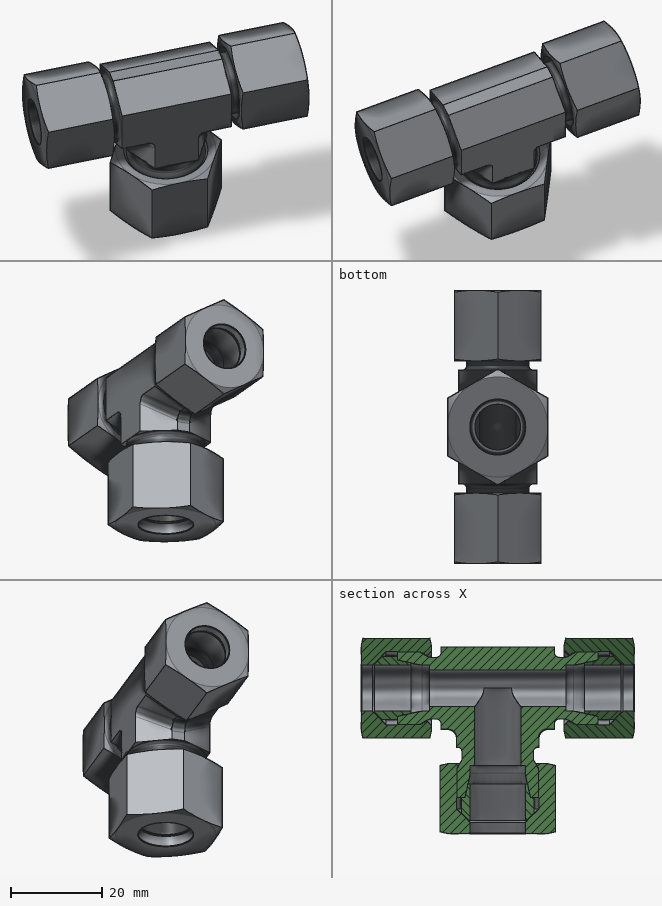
import cadquery as cq
import math


CORE_ACROSS_FLATS = 17.15
CORE_HALF_DEPTH = 9.05
CORNER_FILLET = 2.0

SEAT_DEPTH = 7.0
SEAT_HALF_ANGLE = math.radians(12)
UNDERCUT_RADIUS = 1.0
THREAD_END_ANGLE = math.radians(30)
UNDERCUT_LENGTH = 4.55
RING_NOSE = 3.0
RING_TAIL = 5.05
RING_END_GAP = 0.5
NUT_LENGTH = 15.5
NUT_CHAMFER_ANGLE = math.radians(15)
NUT_EDGE_BREAK = 0.15

RUN = dict(
    core_end=12.5,
    arm_end=22.0,
    outer_end=30.0,
    bore=8.0,
    tube=10.0,
    seat_mouth=12.3,
    thread=16.0,
    neck=13.7,
    ring=14.0,
    nut_mouth=16.4,
    nut_flats=19.0,
)
BRANCH = dict(
    core_end=13.0,
    arm_end=24.0,
    outer_end=32.0,
    bore=10.0,
    tube=12.0,
    seat_mouth=14.3,
    thread=18.0,
    neck=15.7,
    ring=16.0,
    nut_mouth=18.5,
    nut_flats=22.0,
)

ARMS = [(RUN, -90), (RUN, 90), (BRANCH, 180)]


def turn(solid, angle):
    return solid.rotate((0, 0, 0), (1, 0, 0), angle)


def spin(outline):
    """Revolve a closed outline of (radius, height) points about Z."""
    return outline.close().revolve(360, (0, 0, 0), (0, 1, 0))


def seat_radius(arm, depth):
    """Radius of the conical ring seat at a depth below the end of the arm."""
    return arm["seat_mouth"] / 2 - depth * math.tan(SEAT_HALF_ANGLE)


def core_bar(length):
    """Flattened hexagon bar along +Z, with its flats on +X and -X."""
    side = CORE_ACROSS_FLATS / 2
    side_half_height = side * math.tan(math.radians(30))
    flat_half_width = 2 * side - CORE_HALF_DEPTH * math.tan(math.radians(60))
    quarter = [(side, side_half_height), (flat_half_width, CORE_HALF_DEPTH)]
    top = quarter + [(-x, y) for x, y in reversed(quarter)]
    bottom = [(-x, -y) for x, y in top]
    return cq.Workplane("XY").polyline(top + bottom).close().extrude(length)


def core():
    bars = [turn(core_bar(arm["core_end"]), angle) for arm, angle in ARMS]
    tee = bars[0].union(bars[1]).union(bars[2])
    inner = 0.6 * CORE_HALF_DEPTH
    outer = 1.1 * CORE_HALF_DEPTH
    for y_sign in (1, -1):
        corner = cq.selectors.BoxSelector(
            (-CORE_ACROSS_FLATS, y_sign * inner, -inner),
            (CORE_ACROSS_FLATS, y_sign * outer, -outer),
        )
        tee = tee.edges(corner).fillet(CORNER_FILLET)
    return tee


def thread_start(arm):
    return arm["core_end"] + UNDERCUT_LENGTH


def arm_outside(arm):
    """Neck and threaded end of one arm, from the end of the core outwards."""
    neck = arm["neck"] / 2
    thread = arm["thread"] / 2
    core_end = arm["core_end"]

    root = min(neck + UNDERCUT_RADIUS, CORE_ACROSS_FLATS / 2)
    root_gap = neck + UNDERCUT_RADIUS - root
    root_length = math.sqrt(UNDERCUT_RADIUS**2 - root_gap**2)

    arc_rise = UNDERCUT_RADIUS * (1 - math.cos(THREAD_END_ANGLE))
    arc_length = UNDERCUT_RADIUS * math.sin(THREAD_END_ANGLE)
    cone_length = (thread - neck - arc_rise) / math.tan(THREAD_END_ANGLE)
    cone_start = thread_start(arm) - cone_length

    outline = (
        cq.Workplane("XZ")
        .moveTo(0, core_end)
        .lineTo(0, arm["arm_end"])
        .lineTo(thread, arm["arm_end"])
        .lineTo(thread, thread_start(arm))
        .lineTo(neck + arc_rise, cone_start)
        .tangentArcPoint((neck, cone_start - arc_length), relative=False)
        .lineTo(neck, core_end + root_length)
        .tangentArcPoint((root, core_end), relative=False)
    )
    return spin(outline)


def arm_bore(arm):
    """Through bore, tube socket and conical ring seat of one arm."""
    bore = arm["bore"] / 2
    tube = arm["tube"] / 2
    end = arm["arm_end"]
    cone_depth = (arm["seat_mouth"] / 2 - tube) / math.tan(SEAT_HALF_ANGLE)
    outline = (
        cq.Workplane("XZ")
        .lineTo(bore, 0)
        .lineTo(bore, end - SEAT_DEPTH)
        .lineTo(tube, end - SEAT_DEPTH)
        .lineTo(tube, end - cone_depth)
        .lineTo(arm["seat_mouth"] / 2, end)
        .lineTo(0, end)
    )
    return spin(outline)


def make_body():
    body = core()
    for arm, angle in ARMS:
        body = body.union(turn(arm_outside(arm), angle))
    for arm, angle in ARMS:
        body = body.cut(turn(arm_bore(arm), angle))
    return body


def make_ring(arm):
    """Ring with a nose in the conical seat and a 45 degree shoulder under the nut."""
    tube = arm["tube"] / 2
    outside = arm["ring"] / 2
    end = arm["arm_end"]
    tail = end + RING_TAIL
    tail_radius = tube + RING_END_GAP
    outline = (
        cq.Workplane("XZ")
        .moveTo(tube, end - RING_NOSE)
        .lineTo(seat_radius(arm, RING_NOSE), end - RING_NOSE)
        .lineTo(arm["seat_mouth"] / 2, end)
        .lineTo(outside, end)
        .lineTo(outside, tail - (outside - tail_radius))
        .lineTo(tail_radius, tail)
        .lineTo(tube, tail)
    )
    return spin(outline)


def nut_blank(arm):
    """Hexagon with corners on +Y and -Y, chamfered at both ends."""
    flat = arm["nut_flats"] / 2
    corner = flat / math.cos(math.radians(30))
    top = arm["outer_end"]
    bottom = top - NUT_LENGTH
    chamfer = (corner - flat) * math.tan(NUT_CHAMFER_ANGLE)
    prism = (
        cq.Workplane("XY", origin=(0, 0, bottom))
        .polygon(6, 2 * corner)
        .extrude(NUT_LENGTH)
        .rotate((0, 0, 0), (0, 0, 1), 90)
    )
    envelope = (
        cq.Workplane("XZ")
        .moveTo(0, bottom)
        .lineTo(flat, bottom)
        .lineTo(corner, bottom + chamfer)
        .lineTo(corner, top - chamfer)
        .lineTo(flat, top)
        .lineTo(0, top)
    )
    return prism.intersect(spin(envelope))


def nut_bore(arm):
    """Threaded bore with a countersunk mouth, 45 degree ring shoulder and tube hole."""
    thread = arm["thread"] / 2
    mouth = arm["nut_mouth"] / 2
    hole = arm["tube"] / 2
    top = arm["outer_end"]
    bottom = top - NUT_LENGTH
    shoulder = arm["arm_end"] + RING_TAIL + RING_END_GAP

    cone_at_bottom = thread - (thread_start(arm) - bottom) * math.tan(THREAD_END_ANGLE)
    sink_depth = (mouth - cone_at_bottom) / (1 + math.tan(THREAD_END_ANGLE))
    outline = (
        cq.Workplane("XZ")
        .moveTo(0, bottom)
        .lineTo(mouth, bottom)
        .lineTo(mouth - sink_depth, bottom + sink_depth)
        .lineTo(thread, thread_start(arm))
        .lineTo(thread, shoulder - (thread - hole))
        .lineTo(hole, shoulder)
        .lineTo(hole, top - NUT_EDGE_BREAK)
        .lineTo(hole + NUT_EDGE_BREAK, top)
        .lineTo(0, top)
    )
    return spin(outline)


def make_nut(arm):
    return nut_blank(arm).cut(nut_bore(arm))


body = make_body()
rings = [turn(make_ring(arm), angle) for arm, angle in ARMS]
nuts = [turn(make_nut(arm), angle) for arm, angle in ARMS]

result = cq.Compound.makeCompound(
    [body.val(), *[ring.val() for ring in rings], *[nut.val() for nut in nuts]]
)